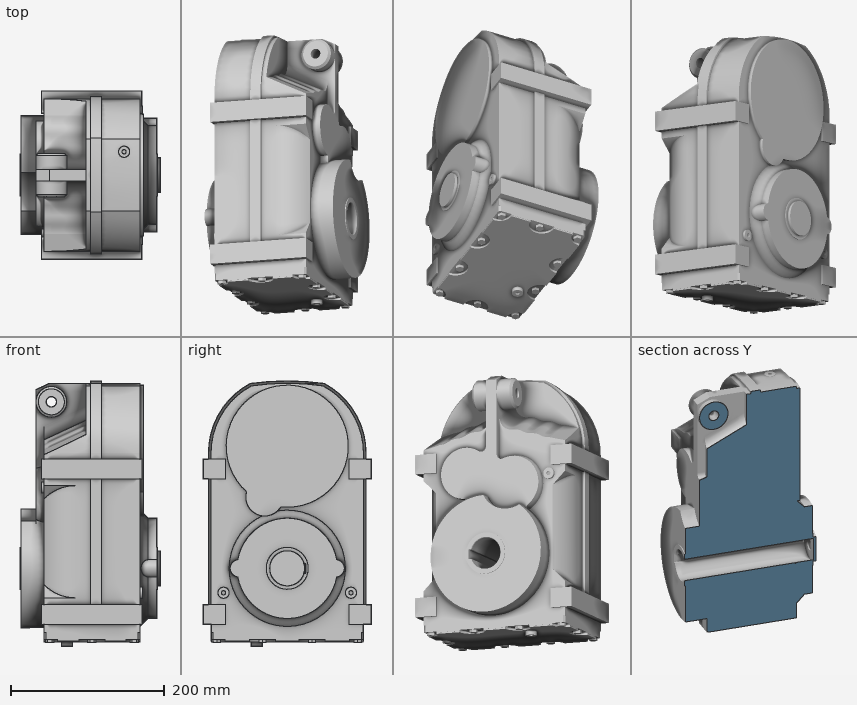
import cadquery as cq
import math


housing_length = 125.0
half_width = 99.2
housing_bottom = -94.5
crown_center_z = 150.0
corner_y = 47.0
crown_top = 241.0
corner_chamfer = 2.5
corner_chamfer_top = -83.5

rib_start = 61.0
rib_width = 14.0
rib_height = 3.0
rib_half_width = 102.5
rib_corner_y = 48.0
rib_bottom = -58.8

cover_height = 1.7
cover_bottom = -96.0
cover_inset = 0.5
scallop_radius = 17.0
scallop_center_inset = 1.0
scallop_top = -93.0
scallop_spacing_y = 64.3
bolt_inset = 7.5
bolt_head_bottom = -96.8
bolt_head_diameter = 11.0

foot_overhang_left = 3.5
foot_overhang_right = 2.5
foot_outer_y = 109.5
foot_width = 29.0
foot_height = 25.5
foot_bottoms = (116.5, -73.0)

wall_x = 55.0
slope_angle = 25.0
wave_half_pitch = 12.5
wave_step = 3.5
wave_count = 2
first_wave_y = 27.3
first_wave_z = 167.3
web_fillet = 16.5
slope_edge_z = 148.0
clear_z = 276.5

web_half = 7.5
pad_depth = 10.5
web_chamfer_x = 17.5
eye_x = 9.7
eye_z = 216.7
eye_radius = 20.0
eye_half_length = 28.5
eye_chamfer = 3.0
eye_hole_radius = 6.5

left_lobe_y = 36.5
left_lobe_z = 111.5
left_lobe_radius = 34.0
left_fillet = 6.5
right_lobe_y = -29.5
right_lobe_z = 93.5
right_lobe_radius = 36.5
right_lobe_base_radius = 39.5
right_fillet = 6.2
boss_fillet = 3.5
bridge_bottom = 62.2

front_boss_radius = 77.5
front_boss_length = 30.0
rear_boss_radius = 65.3
rear_boss_length = 21.8
rear_cone_length = 10.5
rear_lug_radius = 11.5
rear_lug_y = 63.0
shaft_radius = 27.3
shaft_step = 1.0
bore_radius = 20.7
bore_chamfer = 0.7
keyway_half_width = 6.2
keyway_reach = 24.0
cap_radius = 22.8
cap_thickness = 3.8
cap_dimple_radius = 8.0
cap_dimple_depth = 1.7

rear_pad_height = 5.0
rear_pad_radius = 79.5
rear_pad_z = 159.0
rear_lobe_radius = 24.5
rear_lobe_z = 92.5

pocket_length = 40.5
pocket_depth = 17.3
pocket_top = 107.5
pocket_bottom = -38.5

plug_radius = 7.3
plug_socket_radius = 2.8
plug_socket_depth = 2.0
plug_height = 3.5
bottom_plug_height = 5.5
left_plug_y = -77.5
left_plug_z = 105.5
bottom_plug_x = 30.0
bottom_plug_y = -39.7
top_plug_x = 104.5
top_plug_y = 30.5
top_plug_base = 237.0
rear_plug_y = 83.0
rear_plug_z = -31.8


def cylinder_x(x_start, x_end, y, z, radius):
    return cq.Workplane("YZ", origin=(x_start, y, z)).circle(radius).extrude(x_end - x_start)


def cone_x(x_start, x_end, y, z, start_radius, end_radius):
    cone = cq.Solid.makeCone(
        start_radius, end_radius, x_end - x_start, cq.Vector(x_start, y, z), cq.Vector(1, 0, 0)
    )
    return cq.Workplane(cone)


def box(x_range, y_range, z_range):
    sizes = [high - low for low, high in (x_range, y_range, z_range)]
    origin = (x_range[0], y_range[0], z_range[0])
    return cq.Workplane(origin=origin).box(*sizes, centered=False)


def arched_block(x_start, length, half, bottom, shoulder_y, top):
    """Block with round shoulders of radius `half` and a flatter crown between them."""
    shoulder_z = crown_center_z + math.sqrt(half**2 - shoulder_y**2)
    middle = math.acos(shoulder_y / half) / 2
    middle_y = half * math.cos(middle)
    middle_z = crown_center_z + half * math.sin(middle)
    return (
        cq.Workplane("YZ", origin=(x_start, 0, 0))
        .moveTo(-half, bottom)
        .lineTo(half, bottom)
        .lineTo(half, crown_center_z)
        .threePointArc((middle_y, middle_z), (shoulder_y, shoulder_z))
        .threePointArc((0, top), (-shoulder_y, shoulder_z))
        .threePointArc((-middle_y, middle_z), (-half, crown_center_z))
        .close()
        .extrude(length)
    )


def slope_cut(side):
    """Space above the wavy slope on one side of the web."""
    arc_radius = (wave_half_pitch**2 + wave_step**2) / (2 * wave_step)
    rise = wall_x * math.tan(math.radians(slope_angle))

    def at(y, z):
        return (side * y, z)

    y = first_wave_y
    z = first_wave_z
    outline = (
        cq.Workplane("YZ")
        .moveTo(*at(web_half, clear_z))
        .lineTo(*at(web_half, z + web_fillet))
        .radiusArc(at(web_half + web_fillet, z), -side * web_fillet)
        .lineTo(*at(y, z))
    )
    for _ in range(wave_count):
        outline = outline.radiusArc(at(y + wave_half_pitch, z - wave_step), side * arc_radius)
        y += 2 * wave_half_pitch
        z -= 2 * wave_step
        outline = outline.radiusArc(at(y, z), -side * arc_radius)
    outline = (
        outline
        .lineTo(*at(half_width, slope_edge_z))
        .lineTo(*at(half_width, clear_z))
        .close()
    )
    return cq.Workplane(cq.Solid.extrudeLinear(outline.val(), [], cq.Vector(wall_x, 0, rise)))


def side_pocket(side):
    """Pocket with sloping ends and a convex floor that runs out into the side face."""
    floor_radius = (pocket_length**2 + pocket_depth**2) / (2 * pocket_depth)
    outline = [
        (side * half_width, pocket_bottom),
        (side * half_width, pocket_top),
        (side * (half_width - pocket_depth), pocket_top - pocket_depth),
        (side * (half_width - pocket_depth), pocket_bottom + pocket_depth),
    ]
    floor = (
        cq.Workplane(origin=(pocket_length, side * (half_width - floor_radius), pocket_bottom))
        .circle(floor_radius)
        .extrude(pocket_top - pocket_bottom)
    )
    return cq.Workplane("YZ").polyline(outline).close().extrude(pocket_length).cut(floor)


def bolt_positions(inset):
    """Places along the bottom outline: four at each end and one in the middle of each side."""
    end_y = half_width - inset
    positions = [(housing_length / 2, end_y), (housing_length / 2, -end_y)]
    for x in (inset, housing_length - inset):
        for y in (-end_y, -scallop_spacing_y / 2, scallop_spacing_y / 2, end_y):
            positions.append((x, y))
    return positions


def bottom_cover():
    cover = box(
        (cover_inset, housing_length - cover_inset),
        (cover_inset - half_width, half_width - cover_inset),
        (cover_bottom, cover_bottom + cover_height),
    )
    return cover.edges("|Z").chamfer(corner_chamfer)


def bottom_scallops():
    bottom = cq.Workplane(origin=(0, 0, bolt_head_bottom)).pushPoints(bolt_positions(scallop_center_inset))
    return bottom.circle(scallop_radius).extrude(scallop_top - bolt_head_bottom)


def bolt_heads():
    bottom = cq.Workplane(origin=(0, 0, bolt_head_bottom)).pushPoints(bolt_positions(bolt_inset))
    return bottom.polygon(6, bolt_head_diameter).extrude(scallop_top - bolt_head_bottom)


def lobe_fillet(side, lobe_y, lobe_z, radius, fillet):
    """Hollow corner between the web and a pad lobe."""
    center_y = side * (web_half + fillet)
    center_z = lobe_z + math.sqrt((radius + fillet) ** 2 - (center_y - lobe_y) ** 2)
    outline = [
        (side * web_half, center_z),
        (center_y, center_z),
        (lobe_y, lobe_z),
        (side * web_half, lobe_z),
    ]
    corner = cq.Workplane("YZ", origin=(-pad_depth, 0, 0)).polyline(outline).close().extrude(pad_depth)
    return corner.cut(cylinder_x(-pad_depth, 0, center_y, center_z, fillet))


def boss_corner():
    """Hollow corner between the right pad lobe and the round output boss."""
    lobe_reach = right_lobe_radius + boss_fillet
    boss_reach = front_boss_radius + boss_fillet
    distance = math.hypot(right_lobe_y, right_lobe_z)
    along = (boss_reach**2 - lobe_reach**2 + distance**2) / (2 * distance)
    across = math.sqrt(boss_reach**2 - along**2)
    center_y = (along * right_lobe_y - across * right_lobe_z) / distance
    center_z = (along * right_lobe_z + across * right_lobe_y) / distance
    outline = [(0, 0), (right_lobe_y, right_lobe_z), (center_y, center_z)]
    corner = cq.Workplane("YZ", origin=(-pad_depth, 0, 0)).polyline(outline).close().extrude(pad_depth)
    return corner.cut(cylinder_x(-pad_depth, 0, center_y, center_z, boss_fillet))


def gear_pad():
    left = cylinder_x(-pad_depth, 0, left_lobe_y, left_lobe_z, left_lobe_radius)
    right = cone_x(-pad_depth, 0, right_lobe_y, right_lobe_z, right_lobe_radius, right_lobe_base_radius)
    bridge = box((-pad_depth, 0), (right_lobe_y, left_lobe_y), (bridge_bottom, left_lobe_z))
    pad = left.union(right).union(bridge).union(boss_corner())
    pad = pad.union(lobe_fillet(1, left_lobe_y, left_lobe_z, left_lobe_radius, left_fillet))
    return pad.union(lobe_fillet(-1, right_lobe_y, right_lobe_z, right_lobe_radius, right_fillet))


def web():
    drop = web_chamfer_x * math.tan(math.radians(slope_angle))
    outline = [
        (-pad_depth, right_lobe_z),
        (-pad_depth, crown_top - drop),
        (web_chamfer_x - pad_depth, crown_top),
        (wall_x, crown_top),
        (wall_x, right_lobe_z),
    ]
    return cq.Workplane("XZ").polyline(outline).close().extrude(web_half, both=True)


def suspension_eye():
    barrel = cq.Workplane("XZ", origin=(eye_x, 0, eye_z)).circle(eye_radius)
    return barrel.extrude(eye_half_length, both=True).edges().chamfer(eye_chamfer)


def rear_side():
    """Low round pads, the output boss on its cone and a lug on each side of it."""
    x = housing_length
    boss_end = x + rear_boss_length
    side = cylinder_x(x, x + rear_pad_height, 0, rear_pad_z, rear_pad_radius)
    side = side.union(cylinder_x(x, x + rear_pad_height, right_lobe_y, rear_lobe_z, rear_lobe_radius))
    side = side.union(cylinder_x(x, boss_end, 0, 0, rear_boss_radius))
    side = side.union(
        cone_x(x, x + rear_cone_length, 0, 0, rear_boss_radius + rear_cone_length, rear_boss_radius)
    )
    for y in (-rear_lug_y, rear_lug_y):
        side = side.union(cylinder_x(x, boss_end, y, 0, rear_lug_radius))
    return side


def plug(position, direction, height=plug_height):
    """Screw plug with a socket, standing on `position`."""
    base = cq.Workplane(cq.Plane(origin=position, normal=direction))
    head = base.circle(plug_radius).extrude(height)
    socket = base.workplane(offset=height - plug_socket_depth).circle(plug_socket_radius)
    return head.cut(socket.extrude(plug_socket_depth))


body = arched_block(0, housing_length, half_width, housing_bottom, corner_y, crown_top)
body = body.cut(box((0, wall_x), (-web_half, web_half), (first_wave_z, clear_z)))
for side in (-1, 1):
    body = body.cut(slope_cut(side)).cut(side_pocket(side))
lower_end = box((0, housing_length), (-half_width, half_width), (housing_bottom, corner_chamfer_top))
body = body.cut(lower_end.cut(lower_end.edges("|Z").chamfer(corner_chamfer)))
body = body.union(bottom_cover()).cut(bottom_scallops()).union(bolt_heads())
body = body.union(
    arched_block(
        rib_start, rib_width, rib_half_width, rib_bottom, rib_corner_y, crown_top + rib_height
    )
)

for bottom in foot_bottoms:
    for inner_y in (-foot_outer_y, foot_outer_y - foot_width):
        body = body.union(
            box(
                (-foot_overhang_left, housing_length + foot_overhang_right),
                (inner_y, inner_y + foot_width),
                (bottom, bottom + foot_height),
            )
        )

front_boss = cylinder_x(-front_boss_length, 0, 0, 0, front_boss_radius)
front_boss = front_boss.cut(
    cylinder_x(-front_boss_length, 0, right_lobe_y, right_lobe_z, right_lobe_radius)
)
body = body.union(front_boss).union(gear_pad()).union(web()).union(suspension_eye())
body = body.union(rear_side())

shaft_start = -front_boss_length - shaft_step
shaft_end = housing_length + rear_boss_length + shaft_step
body = body.union(cylinder_x(shaft_start, shaft_end, 0, 0, shaft_radius))
body = body.cut(cylinder_x(shaft_start, shaft_end, 0, 0, bore_radius))
body = body.cut(
    cone_x(shaft_start, shaft_start + bore_chamfer, 0, 0, bore_radius + bore_chamfer, bore_radius)
)
body = body.cut(
    box((shaft_start, shaft_end), (0, keyway_reach), (-keyway_half_width, keyway_half_width))
)
cap = cylinder_x(shaft_end, shaft_end + cap_thickness, 0, 0, cap_radius)
cap = cap.cut(cylinder_x(shaft_end, shaft_end + cap_dimple_depth, 0, 0, cap_dimple_radius))
body = body.union(cap)

body = body.cut(
    cq.Workplane("XZ", origin=(eye_x, 0, eye_z)).circle(eye_hole_radius).extrude(eye_half_length, both=True)
)

body = body.union(plug((0, left_plug_y, left_plug_z), (-1, 0, 0)))
body = body.union(plug((bottom_plug_x, bottom_plug_y, cover_bottom), (0, 0, -1), bottom_plug_height))
body = body.union(plug((top_plug_x, top_plug_y, top_plug_base), (0, 0, 1)))
for y in (-rear_plug_y, rear_plug_y):
    body = body.union(plug((housing_length, y, rear_plug_z), (1, 0, 0)))

result = body